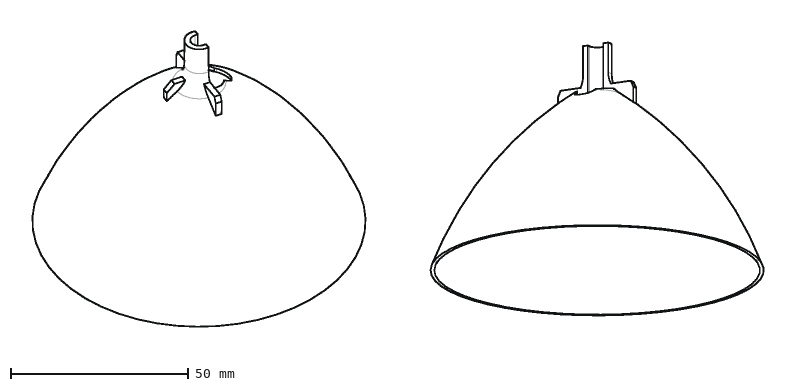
import cadquery as cq
import math

rim_radius = 47.0
shoulder_radius = 7.5
shoulder_z = 50.9
bell_arc_radius = 110.0
wall = 1.0

neck_radius = 4.1
bore_radius = 2.4
flare_top_z = 57.2
total_height = 66.0

fin_width = 1.9
fin_top_z = 53.9
side_fin_reach = 12.0
side_fin_bevel = (0.8, 1.9)
front_fin_reach = 10.7
front_fin_bevel = (2.4, 2.4)

opening_front_y = fin_width / 2
opening_radius = 5.8
opening_center_y = 1.4
slot_width = 6.0
slot_end_y = 10.1


def bell_profile():
    """Outer bell in the XZ half-plane, closed onto the axis."""
    return (
        cq.Workplane("XZ")
        .lineTo(rim_radius, 0)
        .radiusArc((shoulder_radius, shoulder_z), -bell_arc_radius)
        .lineTo(0, shoulder_z)
        .close()
    )


def bell_cavity():
    """Inside of the bell, its arc concentric with the outer one."""
    chord_r = shoulder_radius - rim_radius
    chord = math.hypot(chord_r, shoulder_z)
    sagitta_leg = math.sqrt(bell_arc_radius**2 - (chord / 2) ** 2)
    center_r = (rim_radius + shoulder_radius) / 2 - sagitta_leg * shoulder_z / chord
    center_z = shoulder_z / 2 + sagitta_leg * chord_r / chord
    inner_radius = bell_arc_radius - wall

    def radius_at(z):
        return center_r + math.sqrt(inner_radius**2 - (z - center_z) ** 2)

    ceiling_z = shoulder_z - wall
    return (
        cq.Workplane("XZ")
        .lineTo(radius_at(0), 0)
        .radiusArc((radius_at(ceiling_z), ceiling_z), -inner_radius)
        .lineTo(0, ceiling_z)
        .close()
        .revolve(360, (0, 0, 0), (0, 1, 0))
    )


def neck():
    """Solid neck with a concave flare that leaves it tangentially."""
    flare_width = shoulder_radius - neck_radius
    flare_height = flare_top_z - shoulder_z
    flare_radius = (flare_width**2 + flare_height**2) / (2 * flare_width)
    return (
        cq.Workplane("XZ")
        .moveTo(0, shoulder_z)
        .lineTo(shoulder_radius, shoulder_z)
        .radiusArc((neck_radius, flare_top_z), flare_radius)
        .lineTo(neck_radius, total_height)
        .lineTo(0, total_height)
        .close()
        .revolve(360, (0, 0, 0), (0, 1, 0))
    )


def fin(reach, bevel, angle):
    """Radial fin with a bevelled outer top corner, turned about Z."""
    bevel_run, bevel_drop = bevel
    base_z = shoulder_z / 2
    return (
        cq.Workplane("XZ")
        .moveTo(0, base_z)
        .lineTo(reach, base_z)
        .lineTo(reach, fin_top_z - bevel_drop)
        .lineTo(reach - bevel_run, fin_top_z)
        .lineTo(0, fin_top_z)
        .close()
        .extrude(fin_width / 2, both=True)
        .rotate((0, 0, 0), (0, 0, 1), angle)
    )


def opening():
    """Vertical cut that opens the neck and runs back as a round-ended slot."""
    lobe = cq.Workplane("XY").center(0, opening_center_y).circle(opening_radius).extrude(total_height)
    slot_straight_end = slot_end_y - slot_width / 2
    slot = (
        cq.Workplane("XY")
        .moveTo(-slot_width / 2, 0)
        .lineTo(-slot_width / 2, slot_straight_end)
        .threePointArc((0, slot_end_y), (slot_width / 2, slot_straight_end))
        .lineTo(slot_width / 2, 0)
        .close()
        .extrude(total_height)
    )
    behind_neck = (
        cq.Workplane("XY")
        .center(0, opening_front_y + rim_radius / 2)
        .rect(2 * rim_radius, rim_radius)
        .extrude(total_height)
    )
    return lobe.union(slot).intersect(behind_neck)


body = bell_profile().revolve(360, (0, 0, 0), (0, 1, 0)).union(neck())
for reach, bevel, angle in (
    (side_fin_reach, side_fin_bevel, 0),
    (side_fin_reach, side_fin_bevel, 180),
    (front_fin_reach, front_fin_bevel, -90),
):
    body = body.union(fin(reach, bevel, angle))

bore = (
    cq.Workplane("XY")
    .moveTo(-bore_radius, opening_front_y)
    .lineTo(-bore_radius, 0)
    .threePointArc((0, -bore_radius), (bore_radius, 0))
    .lineTo(bore_radius, opening_front_y)
    .close()
    .extrude(total_height)
)
result = body.cut(bell_cavity()).cut(bore).cut(opening())